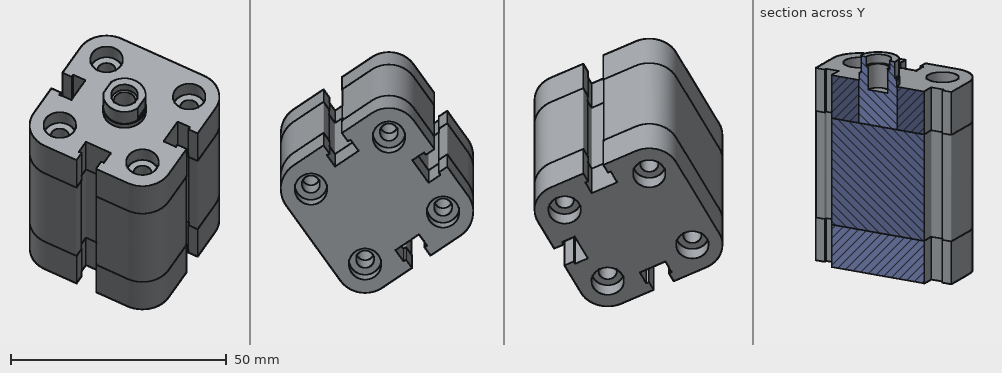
import cadquery as cq

WIDTH = 36.0
HALF_WIDTH = WIDTH / 2
TOTAL_HEIGHT = 53.0
ROD_EXTENSION = 6.0
HOUSING_HEIGHT = TOTAL_HEIGHT - ROD_EXTENSION
CAP_HEIGHT = 10.5
TUBE_HEIGHT = HOUSING_HEIGHT - 2 * CAP_HEIGHT
CORNER_RADIUS = 7.0

MOUTH_WIDTH = 5.2
SLOT_WIDTH = 6.6
LIP_DEPTH = 2.45
SLOT_DEPTH = 5.7
SLOT_SIDE_ANGLES = (-90, 0, 90)
TUBE_SLOT_ROUND = 0.2

SCREW_SPACING = WIDTH - 2 * CORNER_RADIUS
SCREW_HOLE_DIAMETER = 4.2
COUNTERBORE_DIAMETER = 7.5
COUNTERBORE_DEPTH = 4.1

ROD_DIAMETER = 10.0
ROD_LENGTH = ROD_EXTENSION + CAP_HEIGHT
ROD_HOLE_DIAMETER = 5.0
ROD_HOLE_DEPTH = 7.95
ROD_RECESS_DIAMETER = 6.2
ROD_RECESS_DEPTH = 2.1
FLATS_WIDTH = 9.1
FLATS_HEIGHT = 3.9
TIP_DIAMETER = 9.8
SHOULDER_HEIGHT = 1.5


def slotted_block(height):
    """Rounded square block standing on Z = 0, with a T-slot in three of its sides."""
    block = cq.Workplane("XY").rect(WIDTH, WIDTH).extrude(height).edges("|Z").fillet(CORNER_RADIUS)
    for angle in SLOT_SIDE_ANGLES:
        block = block.cut(t_slot(height).rotate((0, 0, 0), (0, 0, 1), angle))
    return block


def t_slot(height):
    """Cutter for the T-slot in the -Y side."""
    half_mouth = MOUTH_WIDTH / 2
    half_slot = SLOT_WIDTH / 2
    outer_y = -HALF_WIDTH
    lip_y = outer_y + LIP_DEPTH
    floor_y = outer_y + SLOT_DEPTH
    return (
        cq.Workplane("XY")
        .moveTo(-half_mouth, outer_y)
        .lineTo(-half_mouth, lip_y)
        .lineTo(-half_slot, lip_y)
        .lineTo(-half_slot, floor_y)
        .lineTo(half_slot, floor_y)
        .lineTo(half_slot, lip_y)
        .lineTo(half_mouth, lip_y)
        .lineTo(half_mouth, outer_y)
        .close()
        .extrude(height)
    )


def screw_cylinders(diameter, height):
    """Four cylinders on the screw axes, standing on Z = 0."""
    return (
        cq.Workplane("XY")
        .rect(SCREW_SPACING, SCREW_SPACING, forConstruction=True)
        .vertices()
        .circle(diameter / 2)
        .extrude(height)
    )


def make_end_cap():
    """End cap with its inner face on Z = 0 and counterbored screw holes in its outer face."""
    counterbores = screw_cylinders(COUNTERBORE_DIAMETER, COUNTERBORE_DEPTH)
    return (
        slotted_block(CAP_HEIGHT)
        .cut(screw_cylinders(SCREW_HOLE_DIAMETER, CAP_HEIGHT))
        .cut(counterbores.translate((0, 0, CAP_HEIGHT - COUNTERBORE_DEPTH)))
    )


def make_tube():
    """Profile tube with all of its T-slot edges slightly rounded."""
    tube = slotted_block(TUBE_HEIGHT)
    front_zone = cq.selectors.BoxSelector((-SLOT_WIDTH, -WIDTH, 0), (SLOT_WIDTH, 0, TUBE_HEIGHT))
    side_zone = cq.selectors.BoxSelector((-WIDTH, -SLOT_WIDTH, 0), (WIDTH, SLOT_WIDTH, TUBE_HEIGHT))
    tube = tube.edges("|Z").edges(front_zone + side_zone).fillet(TUBE_SLOT_ROUND)
    return tube.cut(screw_cylinders(SCREW_HOLE_DIAMETER, TUBE_HEIGHT))


def wrench_flat_cutter():
    """Cutter for the flat on the +X side, which runs out to the rod surface along a 45 degree slope."""
    flat_x = FLATS_WIDTH / 2
    flat_bottom = ROD_LENGTH - FLATS_HEIGHT
    reach = ROD_DIAMETER / 2
    return (
        cq.Workplane("XZ")
        .moveTo(flat_x, ROD_LENGTH)
        .lineTo(flat_x, flat_bottom)
        .lineTo(flat_x + reach, flat_bottom - reach)
        .lineTo(flat_x + reach, ROD_LENGTH)
        .close()
        .extrude(ROD_DIAMETER, both=True)
    )


def make_piston_rod():
    """Rod standing on Z = 0, with a slimmer tip that carries two wrench flats and a stepped hole."""
    shank_length = CAP_HEIGHT + SHOULDER_HEIGHT
    shoulder_chamfer = (ROD_DIAMETER - TIP_DIAMETER) / 2
    shank = cq.Workplane("XY").circle(ROD_DIAMETER / 2).extrude(shank_length)
    shank = shank.faces(">Z").chamfer(shoulder_chamfer)
    rod = shank.faces(">Z").workplane().circle(TIP_DIAMETER / 2).extrude(ROD_LENGTH - shank_length)
    flat = wrench_flat_cutter()
    return (
        rod.cut(flat)
        .cut(flat.mirror("YZ"))
        .faces(">Z")
        .workplane()
        .cboreHole(ROD_HOLE_DIAMETER, ROD_RECESS_DIAMETER, ROD_RECESS_DEPTH, ROD_HOLE_DEPTH)
    )


rod_passage = cq.Workplane("XY").circle(ROD_DIAMETER / 2).extrude(CAP_HEIGHT)
front_cap_bottom = CAP_HEIGHT + TUBE_HEIGHT

rear_cap = make_end_cap().mirror("XY").translate((0, 0, CAP_HEIGHT))
tube = make_tube().translate((0, 0, CAP_HEIGHT))
front_cap = make_end_cap().cut(rod_passage).translate((0, 0, front_cap_bottom))
piston_rod = make_piston_rod().translate((0, 0, front_cap_bottom))

bodies = [rear_cap, tube, front_cap, piston_rod]
result = cq.Compound.makeCompound([body.solids().val() for body in bodies])